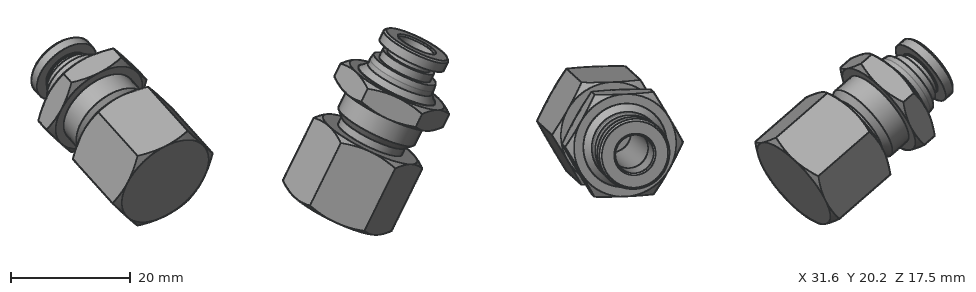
import cadquery as cq
import math

total_length = 31.6
across_flats = 17.47
across_corners = across_flats / math.cos(math.pi / 6)
hex_chamfer_angle = 30.0

bore_diameter = 6.55

sleeve_neck_diameter = 7.9
sleeve_flange_diameter = 12.0
sleeve_flange_thickness = 2.02
sleeve_collar_diameter = 9.5
sleeve_collar_start = 3.2
sleeve_length = 4.68
flange_chamfer = 0.35
bore_chamfer = 0.3
neck_root_chamfer = 0.2

barrel_diameter = 11.9
barrel_nose_diameter = 11.55
thread_diameter = 14.28
barrel_start = sleeve_length
nose_taper_length = 1.0
thread_taper_start = 6.65
thread_taper_length = (thread_diameter - barrel_diameter) / 2
rear_taper_start = 15.55
body_hex_start = 18.1

nut_start = 7.75
nut_thickness = 4.0


def revolved(profile):
    """Revolve a closed list of (x, radius) points about the X axis."""
    return cq.Workplane("XY").polyline(profile).close().revolve(360, (0, 0, 0), (1, 0, 0))


def chamfered_hexagon(start, length):
    """Hexagonal prism along X, with corners pointing along Y and conical chamfers at both ends."""
    prism = (
        cq.Workplane("YZ")
        .workplane(offset=start)
        .polygon(6, across_corners)
        .extrude(length)
    )
    face_radius = across_flats / 2
    corner_radius = across_corners / 2
    chamfer_length = (corner_radius - face_radius) * math.tan(math.radians(hex_chamfer_angle))
    end = start + length
    envelope = revolved([
        (start, 0),
        (start, face_radius),
        (start + chamfer_length, corner_radius),
        (end - chamfer_length, corner_radius),
        (end, face_radius),
        (end, 0),
    ])
    return prism.intersect(envelope)


def make_release_sleeve():
    """Flanged tube whose rear collar butts against the front of the fitting body."""
    bore_radius = bore_diameter / 2
    collar_radius = sleeve_collar_diameter / 2
    neck_radius = sleeve_neck_diameter / 2
    flange_radius = sleeve_flange_diameter / 2
    return revolved([
        (bore_chamfer, bore_radius),
        (0, bore_radius + bore_chamfer),
        (0, flange_radius - flange_chamfer),
        (flange_chamfer, flange_radius),
        (sleeve_flange_thickness, flange_radius),
        (sleeve_flange_thickness, neck_radius + neck_root_chamfer),
        (sleeve_flange_thickness + neck_root_chamfer, neck_radius),
        (sleeve_collar_start, neck_radius),
        (sleeve_collar_start, collar_radius),
        (sleeve_length, collar_radius),
        (sleeve_length, bore_radius),
    ])


def make_fitting_body():
    """Stepped barrel and hexagon, with a blind bore that continues the sleeve bore to the hexagon."""
    bore_radius = bore_diameter / 2
    barrel_radius = barrel_diameter / 2
    thread_radius = thread_diameter / 2
    barrel = revolved([
        (barrel_start, bore_radius),
        (barrel_start, barrel_nose_diameter / 2),
        (barrel_start + nose_taper_length, barrel_radius),
        (thread_taper_start, barrel_radius),
        (thread_taper_start + thread_taper_length, thread_radius),
        (rear_taper_start, thread_radius),
        (rear_taper_start + thread_taper_length, barrel_radius),
        (body_hex_start, barrel_radius),
        (body_hex_start, bore_radius),
    ])
    return barrel.union(chamfered_hexagon(body_hex_start, total_length - body_hex_start))


def make_lock_nut():
    """Hexagonal nut that fits closely around the threaded length of the body."""
    thread_hole = (
        cq.Workplane("YZ")
        .workplane(offset=nut_start)
        .circle(thread_diameter / 2)
        .extrude(nut_thickness)
    )
    return chamfered_hexagon(nut_start, nut_thickness).cut(thread_hole)


release_sleeve = make_release_sleeve()
fitting_body = make_fitting_body()
lock_nut = make_lock_nut()

result = cq.Compound.makeCompound([
    release_sleeve.val(),
    *fitting_body.solids().vals(),
    *lock_nut.solids().vals(),
])